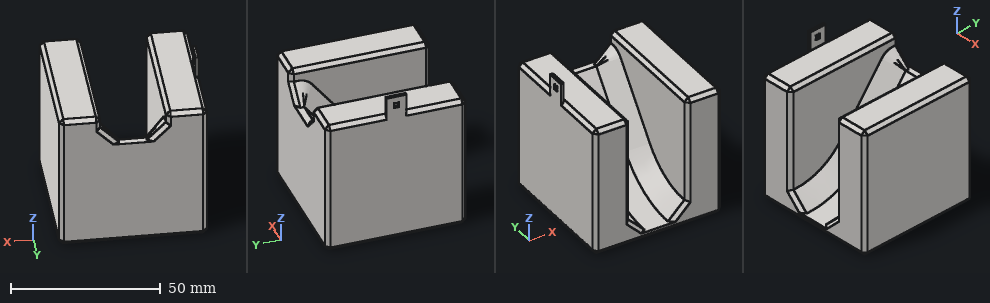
import cadquery as cq
import math

block_side = 50.0
edge_chamfer = 1.5
half_side = block_side / 2

slot_width = 22.2
floor_width = 9.3
flank_size = (slot_width - floor_width) / 2

front_floor_height = 2.7
back_floor_height = 39.1
end_flat_length = 2.85
arc_radius = 32.5
ramp_run = block_side - 2 * end_flat_length
ramp_rise = back_floor_height - front_floor_height
tangent_length = math.sqrt(ramp_run**2 + (arc_radius - ramp_rise) ** 2 - arc_radius**2)
ramp_angle = math.atan2(ramp_rise - arc_radius, ramp_run) + math.atan2(arc_radius, tangent_length)

total_height = 57.0
tab_thickness = 1.0
tab_width = 7.0
tab_hole_size = 1.75
tab_hole_drop = 3.5

overrun = 22.8
tolerance = 0.005


def slot_side_region():
    """Space above the floor path, drawn in the YZ plane."""
    flat_end = -half_side + end_flat_length

    def arc_point(angle):
        y = flat_end + arc_radius * math.sin(angle)
        z = front_floor_height + arc_radius * (1 - math.cos(angle))
        return (y, z)

    return (
        cq.Workplane("YZ")
        .moveTo(-half_side - overrun, front_floor_height)
        .lineTo(flat_end, front_floor_height)
        .threePointArc(arc_point(ramp_angle / 2), arc_point(ramp_angle))
        .lineTo(half_side - end_flat_length, back_floor_height)
        .lineTo(half_side + overrun, back_floor_height)
        .lineTo(half_side + overrun, block_side + overrun)
        .lineTo(-half_side - overrun, block_side + overrun)
        .close()
    )


def slot_cutter():
    """Central channel with a flank on each side that narrows at 45 degrees."""
    center = slot_side_region().extrude(floor_width / 2, both=True)
    flank = slot_side_region().extrude(flank_size, taper=45).translate((floor_width / 2, 0, 0))
    return center.union(flank).union(flank.mirror("YZ"))


def is_chamfered(edge):
    """True for edges on the outside of the block, except the two ends of the slot floor."""
    box = edge.BoundingBox()
    middle = edge.Center()
    on_front_or_back = box.ylen < tolerance and abs(abs(middle.y) - half_side) < tolerance
    on_top_or_bottom = box.zlen < tolerance and min(middle.z, block_side - middle.z) < tolerance
    is_floor_end = (
        on_front_or_back and abs(middle.x) < tolerance and abs(box.xlen - floor_width) < tolerance
    )
    return (on_front_or_back or on_top_or_bottom) and not is_floor_end


def slotted_block():
    block = cq.Workplane("XY").box(block_side, block_side, block_side, centered=(True, True, False))
    block = block.cut(slot_cutter())
    outer_edges = [edge for edge in block.edges().vals() if is_chamfered(edge)]
    return block.newObject(outer_edges).chamfer(edge_chamfer)


def hanging_tab():
    root_height = block_side - edge_chamfer
    tab = (
        cq.Workplane("XY")
        .box(tab_thickness, tab_width, total_height - root_height, centered=(False, True, False))
        .translate((-half_side, 0, root_height))
    )
    hole = (
        cq.Workplane("XY")
        .box(2 * tab_thickness, tab_hole_size, tab_hole_size)
        .translate((-half_side + tab_thickness / 2, 0, total_height - tab_hole_drop))
    )
    return tab.cut(hole)


result = slotted_block().union(hanging_tab())